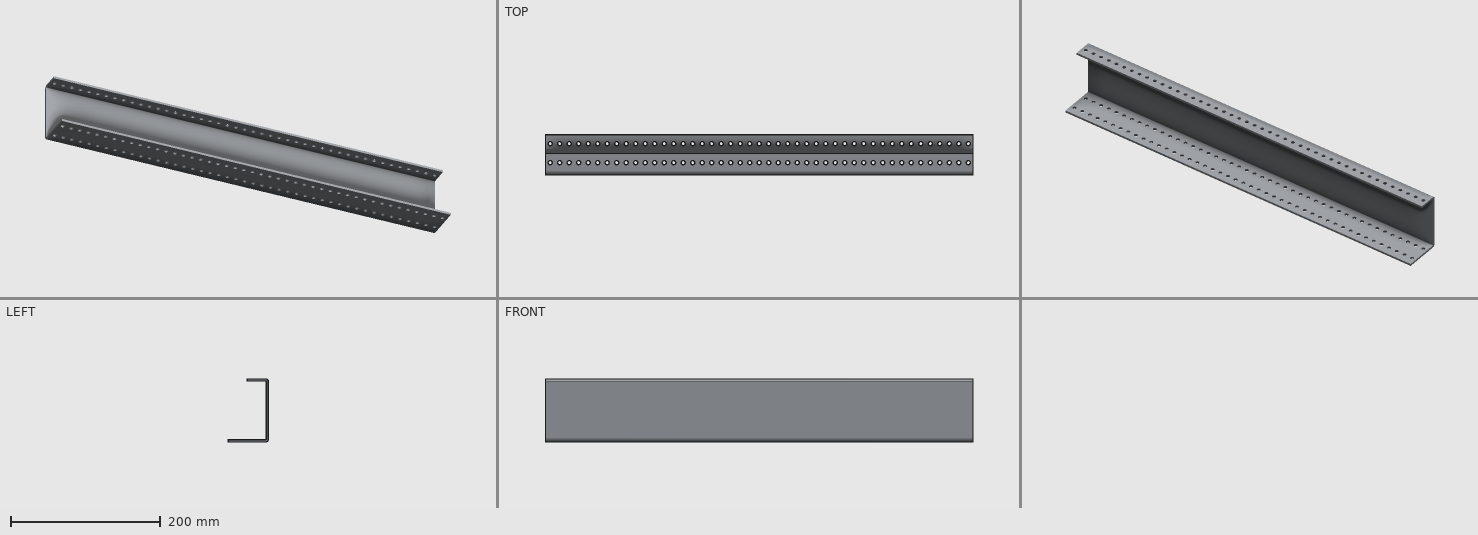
import cadquery as cq

length = 571.5
depth = 53.98
height = 84.58

thickness = 3.175
inner_bend_radius = 0.79
outer_bend_radius = inner_bend_radius + thickness

hole_diameter = 5.33
hole_pitch = 12.7
hole_count = round(length / hole_pitch)
row_spacing = 2 * hole_pitch
row_edge_distance = 11.91

upper_flange_depth = depth - row_spacing
front_row_y = upper_flange_depth - row_edge_distance
back_row_y = front_row_y + row_spacing


def channel():
    """Web on the XZ plane at Y = 0, with both flanges reaching toward +Y."""
    outline = [
        (0, 0),
        (depth, 0),
        (depth, thickness),
        (thickness, thickness),
        (thickness, height - thickness),
        (upper_flange_depth, height - thickness),
        (upper_flange_depth, height),
        (0, height),
    ]
    body = cq.Workplane("YZ").polyline(outline).close().extrude(length)
    body = body.edges("|X and <Y").fillet(outer_bend_radius)
    for corner_z in (thickness, height - thickness):
        inner_corner = cq.selectors.NearestToPointSelector((length / 2, thickness, corner_z))
        body = body.edges(inner_corner).fillet(inner_bend_radius)
    return body


def hole_row(row_y, cutter_height):
    """Evenly pitched round cutters along X, running from Z = 0 up to cutter_height."""
    first_hole_x = (length - (hole_count - 1) * hole_pitch) / 2
    centers = [(first_hole_x + i * hole_pitch, row_y) for i in range(hole_count)]
    return cq.Workplane("XY").pushPoints(centers).circle(hole_diameter / 2).extrude(cutter_height)


front_row = hole_row(front_row_y, height)
back_row = hole_row(back_row_y, thickness)

result = channel().cut(front_row).cut(back_row)